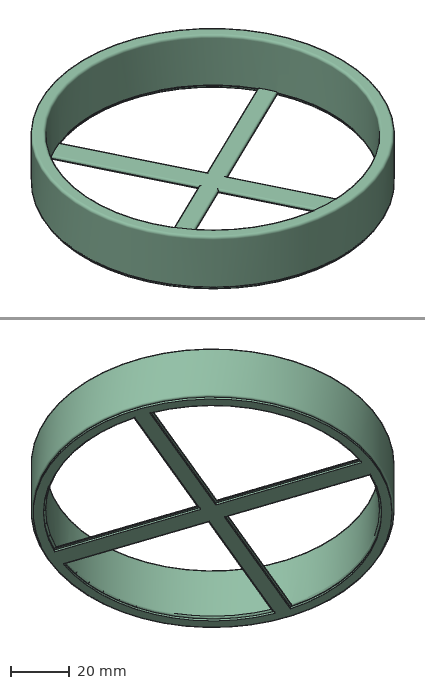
import cadquery as cq

outer_diameter = 123.5
inner_diameter = 113.5
height = 22.0
rim_radius = 1.0
wall_bottom_radius = 0.6

x_bar_width = 8.6
y_bar_width = 7.2
bar_top = 1.7
bar_edge_radius = 0.7

foot_height = 0.9
foot_inset = 0.7

outer_radius = outer_diameter / 2
inner_radius = inner_diameter / 2
bar_length = outer_radius + inner_radius


def make_tube(outer, inner, bottom, top):
    """Plain tube between two heights."""
    return cq.Workplane("XY").workplane(offset=bottom).circle(outer).circle(inner).extrude(top - bottom)


def make_ring():
    """Ring wall with rounded edges, standing on a narrower foot."""
    wall = (
        make_tube(outer_radius, inner_radius, foot_height, height)
        .faces(">Z").edges().fillet(rim_radius)
        .faces("<Z").edges().fillet(wall_bottom_radius)
    )
    foot = make_tube(outer_radius - foot_inset, inner_radius + foot_inset, 0, foot_height)
    return wall.union(foot)


def make_bar(width):
    """Bar along X with rounded top edges, standing on a narrower foot."""
    centered = (True, True, False)
    body = (
        cq.Workplane("XY")
        .workplane(offset=foot_height)
        .box(bar_length, width, bar_top - foot_height, centered=centered)
        .faces(">Z").edges("|X").fillet(bar_edge_radius)
    )
    foot = cq.Workplane("XY").box(bar_length, width - 2 * foot_inset, foot_height, centered=centered)
    return body.union(foot)


x_bar = make_bar(x_bar_width)
y_bar = make_bar(y_bar_width).rotate((0, 0, 0), (0, 0, 1), 90)
result = make_ring().union(x_bar).union(y_bar)